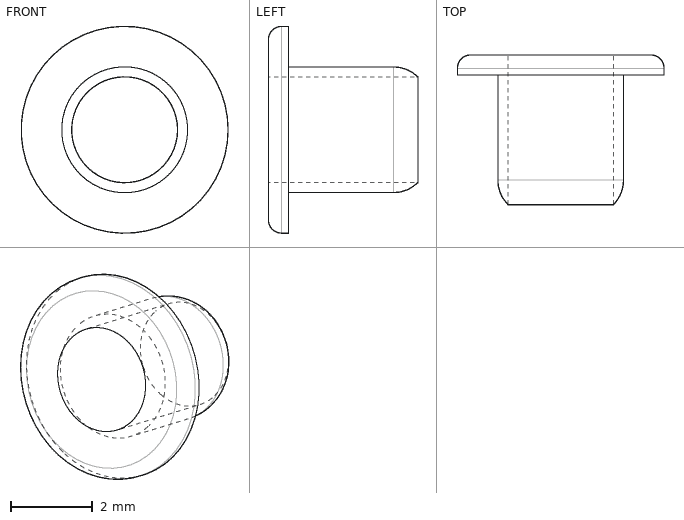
import cadquery as cq
import math

flange_radius = 2.54
flange_thickness = 0.5
flange_round = 0.33
barrel_radius = 1.545
bore_radius = 1.295
total_length = 3.68
tip_length = 0.605

tip_inset = barrel_radius - bore_radius
tip_arc_radius = (tip_length**2 + tip_inset**2) / (2 * tip_inset)
tip_half_angle = math.asin(tip_length / tip_arc_radius) / 2
tip_arc_middle = (
    barrel_radius - tip_arc_radius * (1 - math.cos(tip_half_angle)),
    tip_length - tip_arc_radius * math.sin(tip_half_angle),
)

flange_start = total_length - flange_thickness
round_start = total_length - flange_round
round_center_radius = flange_radius - flange_round
round_middle = (
    round_center_radius + flange_round * math.cos(math.pi / 4),
    round_start + flange_round * math.sin(math.pi / 4),
)

half_section = (
    cq.Workplane("XY")
    .moveTo(bore_radius, 0)
    .threePointArc(tip_arc_middle, (barrel_radius, tip_length))
    .lineTo(barrel_radius, flange_start)
    .lineTo(flange_radius, flange_start)
    .lineTo(flange_radius, round_start)
    .threePointArc(round_middle, (round_center_radius, total_length))
    .lineTo(bore_radius, total_length)
    .close()
)

result = half_section.revolve(360, (0, 0, 0), (0, 1, 0))